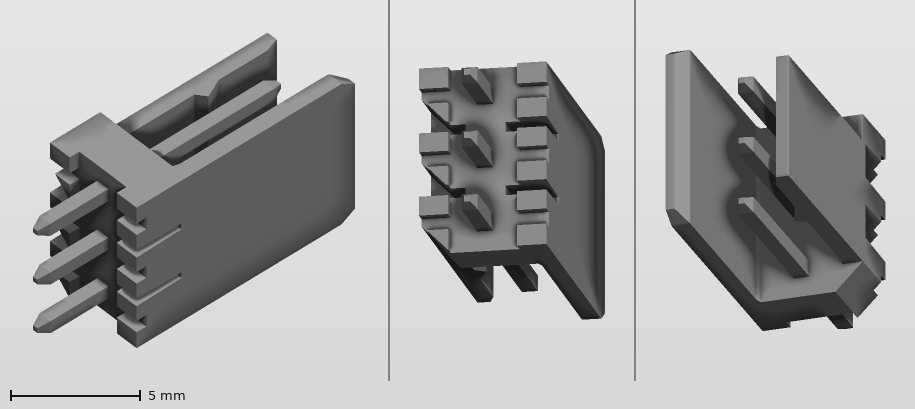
import cadquery as cq
import math


outer_pin_spacing = 5.08
pin_pitch = outer_pin_spacing / 2
pin_positions = (-pin_pitch, 0, pin_pitch)
slot_positions = (-pin_pitch / 2, pin_pitch / 2)

overall_length = 14.3
housing_width = 5.0
housing_height = 7.32
base_top = 2.62
wall_top = 11.3
wall_thickness = 0.76
half_width = housing_width / 2
half_height = housing_height / 2
end_length = half_height - pin_pitch
wall_inner = half_width - wall_thickness

foot_height = 0.5
foot_width = 1.15
foot_inner = half_width - foot_width
pin_row_gap = 0.6
pocket_depth = 2.33
slot_mouth = 0.41
slot_floor = 0.29
slot_inner = 0.79

corner_width = 0.09
corner_height = 0.3

lead_angle = 30.0
lead_depth = 0.4
lead_start = wall_top - lead_depth / math.tan(math.radians(lead_angle))
lead_blend = 0.17

latch_lead_depth = 0.26
latch_lead_length = 0.7
latch_lip_length = 0.07
latch_lip_depth = 0.03
catch_depth = 0.45
catch_bottom = 6.8
catch_peak = 7.14
catch_top = 8.07

pin_width = 0.63
pin_tip_width = 0.25
contact_tip = 9.61
contact_shoulder = 9.1
tail_shoulder = -2.49
tail_tip = wall_top - overall_length

full_height = (-half_height, half_height)
inner_height = (-pin_pitch, pin_pitch)


def box(x_range, y_range, z_range):
    """Box between the given limits."""
    sizes = [high - low for low, high in (x_range, y_range, z_range)]
    corner = (x_range[0], y_range[0], z_range[0])
    return cq.Workplane("XY").box(*sizes, centered=False).translate(corner)


def slab(z_range):
    """Everything between two Z levels, wide enough for the whole part."""
    return box((-half_width, half_width), (tail_tip, wall_top), z_range)


def extrude_along_z(outline, z_range):
    """Prism with an XY outline."""
    start, end = z_range
    return cq.Workplane("XY").workplane(offset=start).polyline(outline).close().extrude(end - start)


def plain_wall():
    """Full-height wall on the +X side, with a lead-in at its free end."""
    outline = [
        (wall_inner - corner_width, base_top),
        (wall_inner, base_top + corner_height),
        (wall_inner, lead_start),
        (wall_inner + lead_depth, wall_top),
        (half_width, wall_top),
        (half_width, base_top),
    ]
    wall = extrude_along_z(outline, full_height)
    for side in (-1, 1):
        outer = side * half_height
        end_bevel = [(lead_start, outer), (wall_top, outer), (wall_top, outer - side * lead_depth)]
        wall = wall.cut(cq.Workplane("YZ").polyline(end_bevel).close().extrude(half_width))
    margin = 0.15
    lead_edges = cq.selectors.BoxSelector(
        (wall_inner - margin, lead_start - margin, -half_height - margin),
        (half_width - margin, lead_start + margin, half_height + margin),
    )
    return wall.edges(lead_edges).fillet(lead_blend)


def latch_wall():
    """Wall on the -X side between the outer pins, with a catch facing the pins."""
    outline = [
        (-half_width, base_top),
        (-half_width, wall_top),
        (-wall_inner - latch_lead_depth, wall_top),
        (-wall_inner, wall_top - latch_lead_length),
        (-wall_inner, catch_top),
        (-wall_inner + catch_depth, catch_peak),
        (-wall_inner, catch_bottom),
        (-wall_inner, base_top + corner_height),
        (-wall_inner + corner_width, base_top),
    ]
    wall = extrude_along_z(outline, inner_height)
    outer_end_edges = wall.faces(">Y").edges("<X or <Z or >Z")
    return outer_end_edges.chamfer(latch_lip_length, latch_lip_depth)


def slot(side, z):
    """Side slot between two pins, narrowing towards its floor."""
    mouth = slot_mouth / 2
    floor = slot_floor / 2
    outline = [(0, -mouth), (0, mouth), (pocket_depth, floor), (pocket_depth, -floor)]
    plane = cq.Workplane("YZ", origin=(side * slot_inner, 0, z))
    return plane.polyline(outline).close().extrude(side * (half_width - slot_inner))


def corner_pocket(z_top, z_bottom, depth):
    """Cut below a pin at the -X side, with a 45 degree flank, from the feet upwards."""
    inner = -half_width + end_length
    outline = [
        (-half_width, z_top),
        (inner, z_top - end_length),
        (inner, z_bottom),
        (-half_width, z_bottom),
    ]
    return cq.Workplane("XZ").polyline(outline).close().extrude(-depth)


def base():
    """Base block with feet, slots and corner pockets."""
    across = (-half_width, half_width)
    block = box(across, (0, base_top), full_height)
    block = block.cut(box((-foot_inner, foot_inner), (0, foot_height), full_height))
    for z in pin_positions:
        gap = (z - pin_row_gap / 2, z + pin_row_gap / 2)
        block = block.cut(box(across, (0, foot_height), gap))
    for z in slot_positions:
        for side in (-1, 1):
            block = block.cut(slot(side, z))
        block = block.cut(corner_pocket(z + pin_pitch / 2, z, pocket_depth))
    lowest = pin_positions[0]
    return block.cut(corner_pocket(lowest, lowest - pin_pitch, base_top))


def pin(z):
    """Whole square pin with both ends tapered."""
    half = pin_width / 2
    body = box((-half, half), (tail_shoulder, contact_shoulder), (-half, half))
    for shoulder, tip in ((tail_shoulder, tail_tip), (contact_shoulder, contact_tip)):
        taper = (
            cq.Workplane("XZ", origin=(0, shoulder, 0))
            .rect(pin_width, pin_width)
            .workplane(offset=shoulder - tip)
            .rect(pin_tip_width, pin_tip_width)
            .loft()
        )
        body = body.union(taper)
    return body.translate((0, 0, z))


def middle_section(housing):
    """Housing between the outer pins, with the middle pin moulded in."""
    section = housing.intersect(slab(inner_height)).union(pin(0))
    for side in (-1, 1):
        section = section.cut(pin(side * pin_pitch))
    return section


def end_section(housing, side):
    """Housing beyond an outer pin, with the outer half of that pin moulded in."""
    beyond = sorted((side * pin_pitch, side * half_height))
    return housing.union(pin(side * pin_pitch)).intersect(slab(beyond))


def half_pin(side):
    """Inner half of an outer pin."""
    return pin(side * pin_pitch).intersect(slab(inner_height))


whole_housing = base().union(plain_wall()).union(latch_wall())

middle = middle_section(whole_housing)
ends = [end_section(whole_housing, side) for side in (-1, 1)]
half_pins = [half_pin(side) for side in (-1, 1)]

bodies = [middle, *ends, *half_pins]
result = cq.Compound.makeCompound([solid for body in bodies for solid in body.solids().vals()])